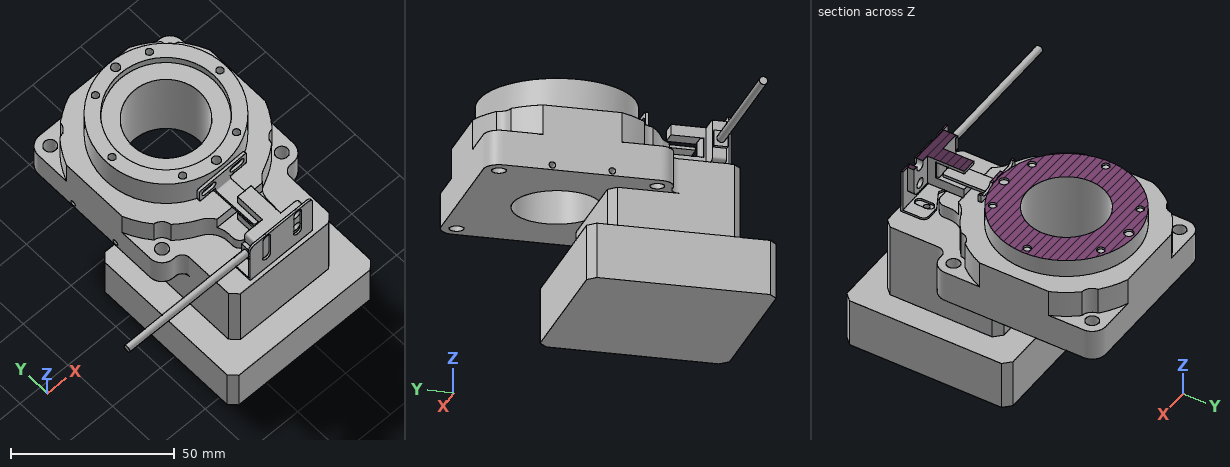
import cadquery as cq
import math


BASE_SIZE = 60.0
BLOCK_SIZE = 42.0
MOTOR_Y = -32.0
MOTOR_CHAMFER = 2.6

BASE_TOP_Z = 17.85
FLANGE_BOTTOM_Z = 33.95
FLANGE_TOP_Z = 45.3
TIER_TOP_Z = 54.9
RING_TOP_Z = 66.5

FLANGE_SIZE = BASE_SIZE
FLANGE_HALF = FLANGE_SIZE / 2
FLANGE_CORNER_R = 5.0
FOOT_FILLET_R = 3.0

MOUNT_HOLE_OFFSET = FLANGE_HALF - FLANGE_CORNER_R
MOUNT_HOLE_D = 4.5
MOUNT_NOTCH_R = 4.0

TIER_R = 32.5
NECK_HALF_WIDTH = 8.5
NECK_END_Y = -41.95
NECK_CORNER_R = 3.0
NECK_BLEND_R = 8.0
NECK_STEP_Y = -33.0
NECK_STEP_Z = 50.0

RING_R = 25.0
RECESS_R = 20.0
RECESS_DEPTH = 3.0
BORE_R = 14.0

RING_HOLE_CIRCLE_R = 22.5
RING_SCREW_D = 2.5
RING_SCREW_COUNT = 6
DOWEL_D = 3.0
RING_HOLE_DEPTH = 6.0

SIDE_SCREW_D = 2.0
SIDE_SCREW_DEPTH = 4.6
SIDE_SCREW_Y = 9.5
SIDE_SCREW_Z = 35.5

DRILL_POINT_ANGLE = 118.0

BRACKET_WIDTH = 26.0
BRACKET_SHEET = 0.7
BRACKET_REAR_Y = -42.6
BRACKET_FACE_Y = -50.9
BRACKET_TOP_Z = 64.5
BRACKET_CORNER_R = 2.0
RELIEF_HALF_WIDTH = 6.7
RELIEF_DEPTH = 3.6

FOOT_SLOT_X = 7.0
FOOT_SLOT_WIDTH = 3.0
FOOT_SLOT_REAR_Y = -43.4
FOOT_SLOT_FRONT_Y = -50.1
FOOT_SCREW_Y = -46.0
FOOT_SCREW_D = 2.0
FOOT_SCREW_DEPTH = 6.0

FACE_SLOT_X = 0.4
FACE_SLOT_SPACING = 13.0
FACE_SLOT_WIDTH = 3.2
FACE_SLOT_LENGTH = 13.4
FACE_SLOT_Z = 57.1

SENSOR_LEFT_X = -10.5
SENSOR_RIGHT_X = 10.3
SENSOR_BOTTOM_Z = 50.4
SENSOR_TOP_Z = 63.8
SENSOR_MID_Z = (SENSOR_BOTTOM_Z + SENSOR_TOP_Z) / 2
LEFT_WING_REAR_Y = -46.4
RIGHT_EAR_REAR_Y = -48.5
LEFT_WING_R = 1.0
RIGHT_EAR_R = 2.1

FORK_LEFT_X = -3.0
FORK_RIGHT_X = 2.7
FORK_TIP_Y = -35.2
FORK_GAP = 6.3
FORK_GAP_FLOOR_Y = -45.6
WINDOW_HEIGHT = 1.0
WINDOW_EDGE_R = 0.5
WINDOW_INSET = 0.55

EAR_HOLE_X = FACE_SLOT_X + FACE_SLOT_SPACING / 2
EAR_HOLE_D = 3.5
EAR_HOLE_SPACING = 7.1

CABLE_BLOCK_X = -11.9
CABLE_BLOCK_REAR_Y = -46.55
CABLE_BLOCK_HEIGHT = 5.1
CABLE_D = 2.7
CABLE_Y = -48.8
CABLE_END_X = -61.8

FLAG_TURN = 1.0
FLAG_X = -0.9
FLAG_SHEET = 1.0
FLAG_PLATE_WIDTH = 20.1
FLAG_PLATE_BOTTOM_Z = 58.2
FLAG_PLATE_TOP_Z = 64.1
FLAG_CORNER_R = 0.7
FLAG_ARM_WIDTH = 6.35
FLAG_ARM_BOTTOM_Z = 55.8
FLAG_ARM_END_Y = -43.1
FLAG_BEND_R = 0.6
FLAG_SLOT_SPACING = 12.0
FLAG_SLOT_LENGTH = 5.9
FLAG_SLOT_WIDTH = 3.0


def block(x_range, y_range, z_range):
    """Box between two limits on each axis."""
    limits = (x_range, y_range, z_range)
    sizes = [high - low for low, high in limits]
    corner = [low for low, high in limits]
    return cq.Workplane("XY").box(*sizes, centered=False).translate(tuple(corner))


def blind_hole(start, direction, diameter, depth):
    """Drilled blind hole with a conical bottom."""
    radius = diameter / 2
    point_length = radius / math.tan(math.radians(DRILL_POINT_ANGLE / 2))
    origin = cq.Vector(*start)
    axis = cq.Vector(*direction)
    shank = cq.Solid.makeCylinder(radius, depth, origin, axis)
    point = cq.Solid.makeCone(radius, 0, point_length, origin + axis * depth, axis)
    return cq.Workplane(shank.fuse(point))


def mount_hole_points():
    return [
        (side * MOUNT_HOLE_OFFSET, end * MOUNT_HOLE_OFFSET)
        for side in (-1, 1)
        for end in (-1, 1)
    ]


def chamfered_square(size, bottom_z, top_z):
    """Motor section with chamfered vertical edges."""
    return (
        cq.Workplane("XY", origin=(0, MOTOR_Y, bottom_z))
        .rect(size, size)
        .extrude(top_z - bottom_z)
        .edges("|Z")
        .chamfer(MOTOR_CHAMFER)
    )


def make_motor():
    base = chamfered_square(BASE_SIZE, 0, BASE_TOP_Z)
    return base.union(chamfered_square(BLOCK_SIZE, BASE_TOP_Z, FLANGE_TOP_Z))


def make_flange():
    """Square flange with round corners and fillets running into the motor block."""
    thickness = FLANGE_TOP_Z - FLANGE_BOTTOM_Z
    flange = (
        cq.Workplane("XY", origin=(0, 0, FLANGE_BOTTOM_Z))
        .rect(FLANGE_SIZE, FLANGE_SIZE)
        .extrude(thickness)
        .edges("|Z")
        .fillet(FLANGE_CORNER_R)
    )
    half_block = BLOCK_SIZE / 2
    web_end_y = -FLANGE_HALF - FOOT_FILLET_R
    web = (
        cq.Workplane("XY", origin=(0, 0, FLANGE_BOTTOM_Z))
        .moveTo(-half_block - FOOT_FILLET_R, -FLANGE_HALF)
        .radiusArc((-half_block, web_end_y), FOOT_FILLET_R)
        .lineTo(half_block, web_end_y)
        .radiusArc((half_block + FOOT_FILLET_R, -FLANGE_HALF), FOOT_FILLET_R)
        .close()
        .extrude(thickness)
    )
    return flange.union(web)


def make_neck():
    """Neck blended tangentially into the round tier, with a lower step at its end."""
    blend_x = NECK_HALF_WIDTH + NECK_BLEND_R
    blend_y = -math.sqrt((TIER_R + NECK_BLEND_R) ** 2 - blend_x**2)
    tangent_ratio = TIER_R / (TIER_R + NECK_BLEND_R)
    tangent_x = blend_x * tangent_ratio
    tangent_y = blend_y * tangent_ratio
    corner_x = NECK_HALF_WIDTH - NECK_CORNER_R
    corner_y = NECK_END_Y + NECK_CORNER_R
    neck = (
        cq.Workplane("XY", origin=(0, 0, FLANGE_TOP_Z))
        .moveTo(-tangent_x, tangent_y)
        .radiusArc((-NECK_HALF_WIDTH, blend_y), NECK_BLEND_R)
        .lineTo(-NECK_HALF_WIDTH, corner_y)
        .radiusArc((-corner_x, NECK_END_Y), -NECK_CORNER_R)
        .lineTo(corner_x, NECK_END_Y)
        .radiusArc((NECK_HALF_WIDTH, corner_y), -NECK_CORNER_R)
        .lineTo(NECK_HALF_WIDTH, blend_y)
        .radiusArc((tangent_x, tangent_y), NECK_BLEND_R)
        .close()
        .extrude(TIER_TOP_Z - FLANGE_TOP_Z)
    )
    step = block(
        (-FLANGE_HALF, FLANGE_HALF),
        (NECK_END_Y, NECK_STEP_Y),
        (NECK_STEP_Z, TIER_TOP_Z),
    )
    return neck.cut(step)


def make_tier():
    """Round tier trimmed to the flange sides and relieved around the mounting holes."""
    height = TIER_TOP_Z - FLANGE_TOP_Z
    plane = cq.Workplane("XY", origin=(0, 0, FLANGE_TOP_Z))
    sides = block(
        (-FLANGE_HALF, FLANGE_HALF),
        (-TIER_R, FLANGE_HALF),
        (FLANGE_TOP_Z, TIER_TOP_Z),
    )
    notches = plane.pushPoints(mount_hole_points()).circle(MOUNT_NOTCH_R).extrude(height)
    tier = plane.circle(TIER_R).extrude(height).intersect(sides)
    return tier.cut(notches).union(make_neck())


def make_ring():
    plane = cq.Workplane("XY", origin=(0, 0, TIER_TOP_Z))
    return plane.circle(RING_R).extrude(RING_TOP_Z - TIER_TOP_Z)


def make_bore():
    """Through bore above the motor, opening into a wider recess at the ring face."""
    bore = (
        cq.Workplane("XY", origin=(0, 0, FLANGE_BOTTOM_Z))
        .circle(BORE_R)
        .extrude(RING_TOP_Z - FLANGE_BOTTOM_Z)
    )
    recess = (
        cq.Workplane("XY", origin=(0, 0, RING_TOP_Z - RECESS_DEPTH))
        .circle(RECESS_R)
        .extrude(RECESS_DEPTH)
    )
    return bore.union(recess)


def make_ring_holes():
    """Six screw holes around the ring face and two flat-bottomed dowel holes."""
    holes = (
        cq.Workplane("XY", origin=(0, 0, RING_TOP_Z - RING_HOLE_DEPTH))
        .pushPoints([(0, -RING_HOLE_CIRCLE_R), (0, RING_HOLE_CIRCLE_R)])
        .circle(DOWEL_D / 2)
        .extrude(RING_HOLE_DEPTH)
    )
    for index in range(RING_SCREW_COUNT):
        angle = 2 * math.pi * index / RING_SCREW_COUNT
        start = (
            RING_HOLE_CIRCLE_R * math.cos(angle),
            RING_HOLE_CIRCLE_R * math.sin(angle),
            RING_TOP_Z,
        )
        holes = holes.add(blind_hole(start, (0, 0, -1), RING_SCREW_D, RING_HOLE_DEPTH))
    return holes.combine()


def make_stage_body():
    body = make_motor().union(make_flange()).union(make_tier()).union(make_ring())
    body = body.cut(make_bore()).cut(make_ring_holes())
    mount_holes = (
        cq.Workplane("XY", origin=(0, 0, FLANGE_BOTTOM_Z))
        .pushPoints(mount_hole_points())
        .circle(MOUNT_HOLE_D / 2)
        .extrude(FLANGE_TOP_Z - FLANGE_BOTTOM_Z)
    )
    body = body.cut(mount_holes)
    for side in (-1, 1):
        side_start = (-FLANGE_HALF, side * SIDE_SCREW_Y, SIDE_SCREW_Z)
        body = body.cut(blind_hole(side_start, (1, 0, 0), SIDE_SCREW_D, SIDE_SCREW_DEPTH))
        foot_start = (side * FOOT_SLOT_X, FOOT_SCREW_Y, FLANGE_TOP_Z)
        body = body.cut(blind_hole(foot_start, (0, 0, -1), FOOT_SCREW_D, FOOT_SCREW_DEPTH))
    return body


def make_bracket():
    """L-shaped bracket: slotted foot on the motor block, slotted face behind the sensor."""
    half_width = BRACKET_WIDTH / 2
    front_y = BRACKET_FACE_Y - BRACKET_SHEET
    foot_top_z = FLANGE_TOP_Z + BRACKET_SHEET
    foot = block(
        (-half_width, half_width), (front_y, BRACKET_REAR_Y), (FLANGE_TOP_Z, foot_top_z)
    )
    foot = foot.edges("|Z and >Y").fillet(BRACKET_CORNER_R)
    relief = (
        cq.Workplane("XY", origin=(0, 0, FLANGE_TOP_Z))
        .moveTo(-RELIEF_HALF_WIDTH, BRACKET_REAR_Y)
        .lineTo(0, BRACKET_REAR_Y - RELIEF_DEPTH)
        .lineTo(RELIEF_HALF_WIDTH, BRACKET_REAR_Y)
        .close()
        .extrude(BRACKET_SHEET)
    )
    foot_slots = (
        cq.Workplane("XY", origin=(0, (FOOT_SLOT_REAR_Y + FOOT_SLOT_FRONT_Y) / 2, FLANGE_TOP_Z))
        .pushPoints([(-FOOT_SLOT_X, 0), (FOOT_SLOT_X, 0)])
        .slot2D(FOOT_SLOT_REAR_Y - FOOT_SLOT_FRONT_Y, FOOT_SLOT_WIDTH, 90)
        .extrude(BRACKET_SHEET)
    )
    face = block(
        (-half_width, half_width), (front_y, BRACKET_FACE_Y), (FLANGE_TOP_Z, BRACKET_TOP_Z)
    )
    face = face.edges("|Y and >Z").fillet(BRACKET_CORNER_R)
    face_slots = (
        cq.Workplane("XZ", origin=(FACE_SLOT_X, BRACKET_FACE_Y, FACE_SLOT_Z))
        .pushPoints([(-FACE_SLOT_SPACING / 2, 0), (FACE_SLOT_SPACING / 2, 0)])
        .slot2D(FACE_SLOT_LENGTH, FACE_SLOT_WIDTH, 90)
        .extrude(BRACKET_SHEET)
    )
    return foot.cut(relief).cut(foot_slots).union(face.cut(face_slots))


def make_sensor():
    """Fork-shaped photo sensor with a wing, a drilled ear, a cable block and a cable."""
    height = (SENSOR_BOTTOM_Z, SENSOR_TOP_Z)
    gap = (SENSOR_MID_Z - FORK_GAP / 2, SENSOR_MID_Z + FORK_GAP / 2)
    fork_x = (FORK_LEFT_X, FORK_RIGHT_X)

    wing = block((SENSOR_LEFT_X, FORK_RIGHT_X), (BRACKET_FACE_Y, LEFT_WING_REAR_Y), height)
    wing = wing.edges("|Y and <X").fillet(LEFT_WING_R)
    ear = block((FORK_LEFT_X, SENSOR_RIGHT_X), (BRACKET_FACE_Y, RIGHT_EAR_REAR_Y), height)
    ear = ear.edges("|Y and >X").fillet(RIGHT_EAR_R)
    ear_holes = (
        cq.Workplane("XZ", origin=(EAR_HOLE_X, RIGHT_EAR_REAR_Y, SENSOR_MID_Z))
        .pushPoints([(0, -EAR_HOLE_SPACING / 2), (0, EAR_HOLE_SPACING / 2)])
        .circle(EAR_HOLE_D / 2)
        .extrude(RIGHT_EAR_REAR_Y - BRACKET_FACE_Y)
    )
    fork = block(fork_x, (BRACKET_FACE_Y, FORK_TIP_Y), height)
    fork = fork.cut(block(fork_x, (FORK_GAP_FLOOR_Y, FORK_TIP_Y), gap))
    window_x = (FORK_LEFT_X + WINDOW_INSET, FORK_RIGHT_X - WINDOW_INSET)
    window = block(window_x, (FORK_GAP_FLOOR_Y, FORK_GAP_FLOOR_Y + WINDOW_HEIGHT), gap)
    window = window.edges("|Z and >Y").fillet(WINDOW_EDGE_R)

    cable_block = block(
        (CABLE_BLOCK_X, SENSOR_LEFT_X + LEFT_WING_R),
        (BRACKET_FACE_Y, CABLE_BLOCK_REAR_Y),
        (SENSOR_MID_Z - CABLE_BLOCK_HEIGHT / 2, SENSOR_MID_Z + CABLE_BLOCK_HEIGHT / 2),
    )
    cable = (
        cq.Workplane("YZ", origin=(CABLE_END_X, CABLE_Y, SENSOR_MID_Z))
        .circle(CABLE_D / 2)
        .extrude(CABLE_BLOCK_X - CABLE_END_X)
    )
    sensor = wing.union(ear).cut(ear_holes).union(fork).union(window)
    return sensor.union(cable_block).union(cable)


def make_flag():
    """Slotted plate against the ring with a narrow arm bent outward from its lower edge."""
    inner_y = -RING_R
    outer_y = inner_y - FLAG_SHEET
    arm_top_z = FLAG_ARM_BOTTOM_Z + FLAG_SHEET
    plate_mid_z = (FLAG_PLATE_BOTTOM_Z + FLAG_PLATE_TOP_Z) / 2
    plate_x = (FLAG_X - FLAG_PLATE_WIDTH / 2, FLAG_X + FLAG_PLATE_WIDTH / 2)
    plate = block(plate_x, (outer_y, inner_y), (FLAG_PLATE_BOTTOM_Z, FLAG_PLATE_TOP_Z))
    plate = plate.edges("|Y").fillet(FLAG_CORNER_R)
    slots = (
        cq.Workplane("XZ", origin=(FLAG_X, inner_y, plate_mid_z))
        .pushPoints([(-FLAG_SLOT_SPACING / 2, 0), (FLAG_SLOT_SPACING / 2, 0)])
        .slot2D(FLAG_SLOT_LENGTH, FLAG_SLOT_WIDTH)
        .extrude(FLAG_SHEET)
    )
    arm = (
        cq.Workplane("YZ", origin=(FLAG_X - FLAG_ARM_WIDTH / 2, 0, 0))
        .moveTo(inner_y, FLAG_PLATE_BOTTOM_Z)
        .lineTo(inner_y, FLAG_ARM_BOTTOM_Z)
        .lineTo(FLAG_ARM_END_Y, FLAG_ARM_BOTTOM_Z)
        .lineTo(FLAG_ARM_END_Y, arm_top_z)
        .lineTo(outer_y - FLAG_BEND_R, arm_top_z)
        .radiusArc((outer_y, arm_top_z + FLAG_BEND_R), -FLAG_BEND_R)
        .lineTo(outer_y, FLAG_PLATE_BOTTOM_Z)
        .close()
        .extrude(FLAG_ARM_WIDTH)
        .edges("|Z and <Y")
        .fillet(FLAG_CORNER_R)
    )
    return plate.cut(slots).union(arm).rotate((0, 0, 0), (0, 0, 1), FLAG_TURN)


stage_body = make_stage_body()
bracket = make_bracket()
sensor = make_sensor()
flag = make_flag()

bodies = [stage_body, bracket, sensor, flag]
result = cq.Compound.makeCompound([body.solids().val() for body in bodies])